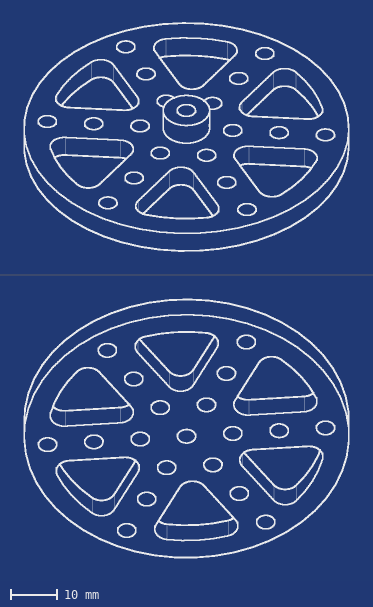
import cadquery as cq
import math

wheel_diameter = 70.0
total_height = 10.0
hole_diameter = 3.9
hole_pitch = 10.0
holes_per_spoke = 3
spoke_count = 6
spoke_width = 10.0
hub_diameter = 10.0
window_corner_radius = 3.0

disc_thickness = total_height / 2
window_outer_radius = holes_per_spoke * hole_pitch
spoke_angle = 360 / spoke_count


def make_window():
    """Rounded opening between two spokes, centred on the +X direction."""
    half_angle = math.radians(spoke_angle / 2)
    half_width = spoke_width / 2
    apex = half_width / math.sin(half_angle)
    corner_angle = half_angle - math.asin(half_width / window_outer_radius)
    corner_x = window_outer_radius * math.cos(corner_angle)
    corner_y = window_outer_radius * math.sin(corner_angle)
    return (
        cq.Workplane("XY")
        .moveTo(apex, 0)
        .lineTo(corner_x, -corner_y)
        .threePointArc((window_outer_radius, 0), (corner_x, corner_y))
        .close()
        .extrude(disc_thickness)
        .edges("|Z")
        .fillet(window_corner_radius)
    )


disc = cq.Workplane("XY").circle(wheel_diameter / 2).extrude(disc_thickness)
hub = cq.Workplane("XY").circle(hub_diameter / 2).extrude(total_height)
result = disc.union(hub)

window = make_window()
for spoke in range(spoke_count):
    window_angle = (spoke + 0.5) * spoke_angle
    result = result.cut(window.rotate((0, 0, 0), (0, 0, 1), window_angle))

hole_radius = hole_diameter / 2
holes = cq.Workplane("XY").circle(hole_radius).extrude(total_height)
for row in range(1, holes_per_spoke + 1):
    ring = (
        cq.Workplane("XY")
        .polarArray(row * hole_pitch, 0, 360, spoke_count)
        .circle(hole_radius)
        .extrude(total_height)
    )
    holes = holes.add(ring)
for hole in holes.vals():
    result = result.cut(cq.Workplane(hole))